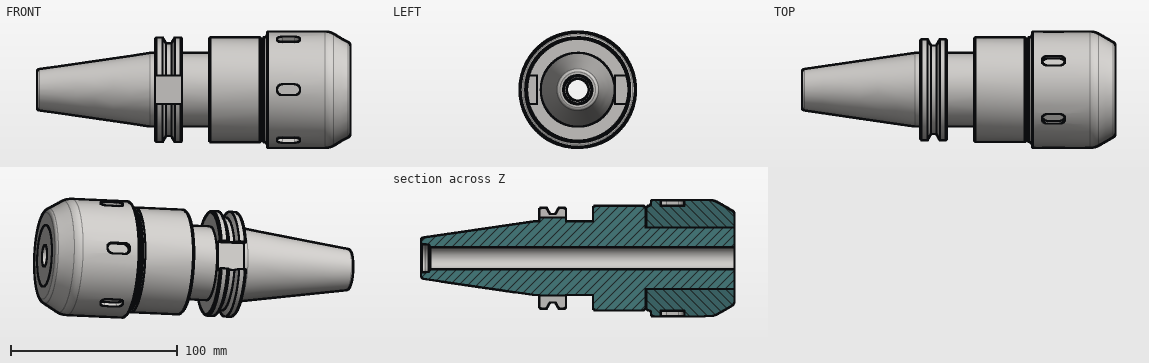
import cadquery as cq
import math

TOTAL_LENGTH = 188.3
HEAD_DIAMETER = 63.0
NECK_DIAMETER = 44.5

TAPER_LENGTH = 68.0
TAPER_RATIO = 7 / 24
SHANK_END_ROUND = 1.9

FLANGE_START = 71.0
FLANGE_LENGTH = 16.2
FLANGE_CHAMFER = 1.0
GROOVE_CENTER = 79.0
GROOVE_TOP_WIDTH = 7.3
GROOVE_FLOOR_WIDTH = 3.2
GROOVE_DEPTH = 3.5
DRIVE_SLOT_WIDTH = 17.0
DRIVE_SLOT_FLOOR_PLUS_Y = 24.5
DRIVE_SLOT_FLOOR_MINUS_Y = 22.4

BODY_START = 103.2
BODY_END = 134.8
BODY_CHAMFER = 1.1
NOSE_DIAMETER = 37.0

MOUTH_DIAMETER = 17.5
MOUTH_CHAMFER_LENGTH = 0.8
ENTRY_DIAMETER = 16.8
ENTRY_END = 2.5
ENTRY_CONE_END = 3.2
COUNTERBORE_DIAMETER = 16.4
COUNTERBORE_END = 4.5
SEAT_CONE_END = 5.6
BORE_DIAMETER = 13.0

NUT_DIAMETER = 70.0
NUT_GAP = 0.4
COLLAR_LENGTH = 2.8
COLLAR_CHAMFER = 1.1
COLLAR_FILLET = 1.5
NUT_BACK_CHAMFER = 0.8
NUT_SHOULDER_START = 173.0
NUT_SHOULDER_RADIUS = 10.2
NUT_CONE_ANGLE = math.radians(30)
NUT_FRONT_RADIUS = 3.0

SLOT_COUNT = 6
SLOT_LENGTH = 14.0
SLOT_WIDTH = 6.5
SLOT_DEPTH = 3.4
SLOT_CENTER = 151.0

HEAD_RADIUS = HEAD_DIAMETER / 2
NUT_RADIUS = NUT_DIAMETER / 2


def revolve_about_x(outline):
    """Turn a closed outline drawn in (x, radius) about the X axis."""
    return outline.close().revolve(360, (0, 0, 0), (1, 0, 0))


def make_holder_blank():
    """Turned outside of the holder: taper, flange, neck, body and nose."""
    neck_radius = NECK_DIAMETER / 2
    shank_end_radius = neck_radius - TAPER_LENGTH * TAPER_RATIO / 2
    flange_end = FLANGE_START + FLANGE_LENGTH
    outline = (
        cq.Workplane("XY")
        .lineTo(0, shank_end_radius)
        .lineTo(TAPER_LENGTH, neck_radius)
        .lineTo(FLANGE_START, neck_radius)
        .lineTo(FLANGE_START, HEAD_RADIUS - FLANGE_CHAMFER)
        .lineTo(FLANGE_START + FLANGE_CHAMFER, HEAD_RADIUS)
        .lineTo(GROOVE_CENTER - GROOVE_TOP_WIDTH / 2, HEAD_RADIUS)
        .lineTo(GROOVE_CENTER - GROOVE_FLOOR_WIDTH / 2, HEAD_RADIUS - GROOVE_DEPTH)
        .lineTo(GROOVE_CENTER + GROOVE_FLOOR_WIDTH / 2, HEAD_RADIUS - GROOVE_DEPTH)
        .lineTo(GROOVE_CENTER + GROOVE_TOP_WIDTH / 2, HEAD_RADIUS)
        .lineTo(flange_end - FLANGE_CHAMFER, HEAD_RADIUS)
        .lineTo(flange_end, HEAD_RADIUS - FLANGE_CHAMFER)
        .lineTo(flange_end, neck_radius)
        .lineTo(BODY_START, neck_radius)
        .lineTo(BODY_START, HEAD_RADIUS - BODY_CHAMFER)
        .lineTo(BODY_START + BODY_CHAMFER, HEAD_RADIUS)
        .lineTo(BODY_END - BODY_CHAMFER, HEAD_RADIUS)
        .lineTo(BODY_END, HEAD_RADIUS - BODY_CHAMFER)
        .lineTo(BODY_END, NOSE_DIAMETER / 2)
        .lineTo(TOTAL_LENGTH, NOSE_DIAMETER / 2)
        .lineTo(TOTAL_LENGTH, 0)
    )
    return revolve_about_x(outline).faces("<X").edges().fillet(SHANK_END_ROUND)


def make_bore():
    """Stepped hole along the whole holder."""
    outline = (
        cq.Workplane("XY")
        .lineTo(0, MOUTH_DIAMETER / 2)
        .lineTo(MOUTH_CHAMFER_LENGTH, ENTRY_DIAMETER / 2)
        .lineTo(ENTRY_END, ENTRY_DIAMETER / 2)
        .lineTo(ENTRY_CONE_END, COUNTERBORE_DIAMETER / 2)
        .lineTo(COUNTERBORE_END, COUNTERBORE_DIAMETER / 2)
        .lineTo(SEAT_CONE_END, BORE_DIAMETER / 2)
        .lineTo(TOTAL_LENGTH, BORE_DIAMETER / 2)
        .lineTo(TOTAL_LENGTH, 0)
    )
    return revolve_about_x(outline)


def make_drive_slot(side, floor_distance):
    """Cutter for one drive slot; side is +1 for +Y and -1 for -Y."""
    height = HEAD_RADIUS
    return cq.Workplane("XY").box(FLANGE_LENGTH, height, DRIVE_SLOT_WIDTH).translate(
        (FLANGE_START + FLANGE_LENGTH / 2, side * (floor_distance + height / 2), 0)
    )


def make_holder():
    holder = make_holder_blank().cut(make_bore())
    holder = holder.cut(make_drive_slot(1, DRIVE_SLOT_FLOOR_PLUS_Y))
    return holder.cut(make_drive_slot(-1, DRIVE_SLOT_FLOOR_MINUS_Y))


def make_nut_blank():
    """Turned nut: chamfered collar, back face, rounded shoulder and front cone."""
    nut_start = BODY_END + NUT_GAP
    back_face = nut_start + COLLAR_LENGTH
    inner_radius = NOSE_DIAMETER / 2

    shoulder_center_radius = NUT_RADIUS - NUT_SHOULDER_RADIUS
    cone_start_x = NUT_SHOULDER_START + NUT_SHOULDER_RADIUS * math.sin(NUT_CONE_ANGLE)
    cone_start_radius = shoulder_center_radius + NUT_SHOULDER_RADIUS * math.cos(NUT_CONE_ANGLE)

    front_center_x = TOTAL_LENGTH - NUT_FRONT_RADIUS
    cone_end_x = front_center_x + NUT_FRONT_RADIUS * math.sin(NUT_CONE_ANGLE)
    cone_end_radius = cone_start_radius - (cone_end_x - cone_start_x) * math.tan(NUT_CONE_ANGLE)
    front_face_radius = cone_end_radius - NUT_FRONT_RADIUS * math.cos(NUT_CONE_ANGLE)

    outline = (
        cq.Workplane("XY")
        .moveTo(nut_start, inner_radius)
        .lineTo(nut_start, HEAD_RADIUS - COLLAR_CHAMFER)
        .lineTo(nut_start + COLLAR_CHAMFER, HEAD_RADIUS)
        .lineTo(back_face - COLLAR_FILLET, HEAD_RADIUS)
        .tangentArcPoint((back_face, HEAD_RADIUS + COLLAR_FILLET), relative=False)
        .lineTo(back_face, NUT_RADIUS - NUT_BACK_CHAMFER)
        .lineTo(back_face + NUT_BACK_CHAMFER, NUT_RADIUS)
        .lineTo(NUT_SHOULDER_START, NUT_RADIUS)
        .tangentArcPoint((cone_start_x, cone_start_radius), relative=False)
        .lineTo(cone_end_x, cone_end_radius)
        .tangentArcPoint((TOTAL_LENGTH, front_face_radius), relative=False)
        .lineTo(TOTAL_LENGTH, inner_radius)
    )
    return revolve_about_x(outline)


def make_spanner_slot(index):
    """Cutter for one flat-bottomed spanner slot, turned to its place about X."""
    return (
        cq.Workplane("XZ", origin=(SLOT_CENTER, -(NUT_RADIUS - SLOT_DEPTH), 0))
        .slot2D(SLOT_LENGTH, SLOT_WIDTH)
        .extrude(2 * SLOT_DEPTH)
        .rotate((0, 0, 0), (1, 0, 0), index * 360 / SLOT_COUNT)
    )


def make_nut():
    nut = make_nut_blank()
    for index in range(SLOT_COUNT):
        nut = nut.cut(make_spanner_slot(index))
    return nut


holder = make_holder()
nut = make_nut()

result = cq.Compound.makeCompound([holder.val(), nut.val()])